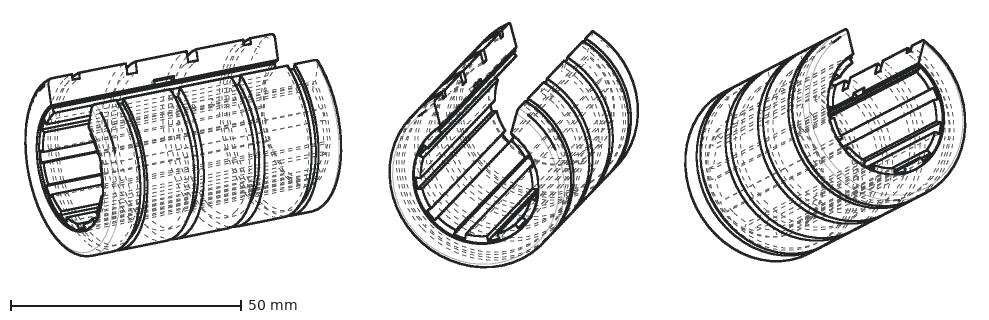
import cadquery as cq
import math


length = 57.15
outer_radius = 19.85
bore_radius = 14.25
end_fillet = 1.0

snap_groove = (6.1, 1.8, 18.65)
centre_groove = (19.7, 2.4, 17.45)

sleeve_opening_half_width = 9.5
sleeve_flank_angle = 15.0

recess_length = 4.9
recess_radius = 15.2

end_recess = 0.65
liner_length = length - 2 * end_recess
shaft_radius = 12.7
channel_radius = 13.8

liner_opening_half_width = 8.35
liner_flank_angle = 45.0

pitch_count = 11
land_count = 9
pitch_angle = 360 / pitch_count
land_angle = pitch_angle * 2 / 3
last_land_edge_angle = (land_count // 2) * pitch_angle + land_angle / 2


def polar(radius, angle):
    """Point in the XZ section at an angle measured from straight down."""
    turn = math.radians(angle)
    return (radius * math.sin(turn), -radius * math.cos(turn))


def section():
    """XZ plane, from which extrusions go equally to both sides."""
    return cq.Workplane("XZ")


def ring_sector(inner_radius, sector_radius, start_angle, end_angle, depth):
    """Piece of a ring between two radial faces, centred along Y."""
    middle_angle = (start_angle + end_angle) / 2
    return (
        section()
        .moveTo(*polar(inner_radius, start_angle))
        .lineTo(*polar(sector_radius, start_angle))
        .threePointArc(polar(sector_radius, middle_angle), polar(sector_radius, end_angle))
        .lineTo(*polar(inner_radius, end_angle))
        .threePointArc(polar(inner_radius, middle_angle), polar(inner_radius, start_angle))
        .close()
        .extrude(depth / 2, both=True)
    )


def ring_groove(position, width, floor_radius):
    """Ring of material to remove, starting at a Y position."""
    return (
        cq.Workplane("XZ", origin=(0, position, 0))
        .circle(outer_radius + end_fillet)
        .circle(floor_radius)
        .extrude(-width)
    )


def top_opening(half_width, radius, flank_angle):
    """Upward-widening wedge with the given half width where its flanks meet the radius."""
    corner_z = math.sqrt(radius**2 - half_width**2)
    slope = math.tan(math.radians(flank_angle))
    bottom_z = shaft_radius / 2
    top_z = outer_radius
    bottom_half_width = half_width + (bottom_z - corner_z) * slope
    top_half_width = half_width + (top_z - corner_z) * slope
    return (
        section()
        .polyline([
            (-bottom_half_width, bottom_z),
            (bottom_half_width, bottom_z),
            (top_half_width, top_z),
            (-top_half_width, top_z),
        ])
        .close()
        .extrude(length, both=True)
    )


def make_sleeve():
    body = section().circle(outer_radius).extrude(length / 2, both=True)
    body = body.edges("%CIRCLE").fillet(end_fillet)
    body = body.cut(section().circle(bore_radius).extrude(length, both=True))
    for offset, width, floor_radius in (snap_groove, centre_groove):
        body = body.cut(ring_groove(-length / 2 + offset, width, floor_radius))
        body = body.cut(ring_groove(length / 2 - offset - width, width, floor_radius))
    body = body.cut(top_opening(sleeve_opening_half_width, outer_radius, sleeve_flank_angle))
    recess = ring_sector(
        shaft_radius, recess_radius, last_land_edge_angle, 360 - last_land_edge_angle, recess_length
    )
    return body.cut(recess)


def make_land(angle):
    """Rib with radial sides, reaching from the shaft to the bore."""
    return ring_sector(
        shaft_radius, bore_radius, angle - land_angle / 2, angle + land_angle / 2, liner_length
    )


def make_liner():
    shell = section().circle(bore_radius).circle(channel_radius)
    body = shell.extrude(liner_length / 2, both=True)
    body = body.cut(top_opening(liner_opening_half_width, bore_radius, liner_flank_angle))
    for index in range(land_count):
        body = body.union(make_land((index - land_count // 2) * pitch_angle))
    return body


sleeve = make_sleeve()
liner = make_liner()

result = cq.Compound.makeCompound([sleeve.solids().val(), liner.solids().val()])